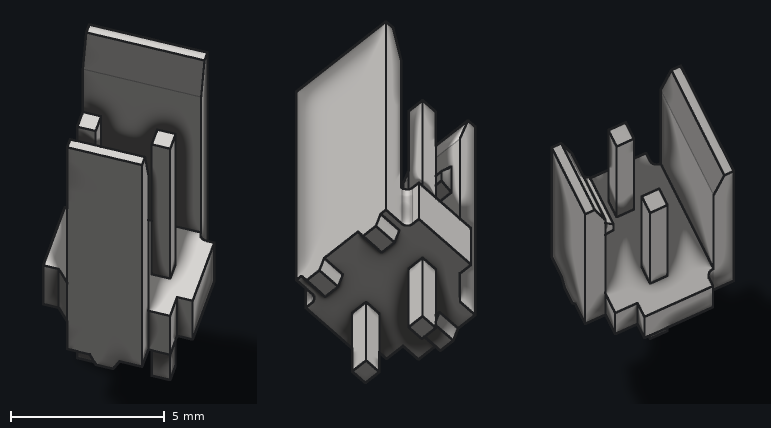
import cadquery as cq


total_height = 14.3
base_width = 5.08
base_depth = 5.0
base_height = 2.1

pin_pitch = 2.53
pin_size = 0.63
pin_tail = 3.39
pin_tip_drop = 1.79
pin_xs = (-pin_pitch / 2, pin_pitch / 2)

wall_thickness = 0.73
back_wall_width = 4.02
front_wall_width = 2.55
lead_in_height = 1.49
lead_in_depth = 0.39

shoulder_back_y = 1.5
shoulder_front_y = -0.97
corner_radius = 0.25

latch_width = 1.79
latch_reach = 0.47
latch_slope_start_drop = 2.69
latch_slope_end_drop = 3.49
latch_nose_bottom_drop = 4.03
latch_bottom_drop = 4.2

foot_height = 0.49
foot_length = 0.89
foot_top_width = 1.02
foot_bottom_width = 0.59

wall_top = total_height - pin_tail
half_depth = base_depth / 2
wall_inner = half_depth - wall_thickness


def extrude_along_x(points, width):
    """Extrude a (Y, Z) outline symmetrically about X = 0."""
    return cq.Workplane("YZ").polyline(points).close().extrude(width / 2, both=True)


def make_base():
    side = base_width / 2
    neck = back_wall_width / 2
    outline = (
        cq.Workplane("XY")
        .moveTo(-neck, wall_inner)
        .lineTo(-neck, shoulder_back_y)
        .lineTo(-side, shoulder_back_y)
        .lineTo(-side, shoulder_front_y)
        .lineTo(-neck, shoulder_front_y)
        .lineTo(-front_wall_width / 2, -wall_inner)
        .lineTo(neck, -wall_inner)
        .lineTo(neck, shoulder_front_y)
        .lineTo(side, shoulder_front_y)
        .lineTo(side, shoulder_back_y)
        .lineTo(neck, shoulder_back_y)
        .lineTo(neck, wall_inner)
        .close()
    )
    base = outline.extrude(base_height)
    for corner_x in (-neck, neck):
        corner = cq.selectors.NearestToPointSelector((corner_x, shoulder_back_y, base_height / 2))
        base = base.edges("|Z").edges(corner).fillet(corner_radius)
    return base


def make_wall(width, side):
    """Wall with a sloped lead-in on its inner face; side is +1 at the back, -1 at the front."""
    outline = [
        (side * half_depth, 0),
        (side * half_depth, wall_top),
        (side * (wall_inner + lead_in_depth), wall_top),
        (side * wall_inner, wall_top - lead_in_height),
        (side * wall_inner, 0),
    ]
    return extrude_along_x(outline, width)


def make_latch():
    face = -wall_inner
    nose = face + latch_reach
    outline = [
        (face, wall_top - latch_slope_start_drop),
        (nose, wall_top - latch_slope_end_drop),
        (nose, wall_top - latch_nose_bottom_drop),
        (face, wall_top - latch_bottom_drop),
    ]
    return extrude_along_x(outline, latch_width)


def make_foot(x, outer_y):
    """Tapered foot below the base, running from the outer face at outer_y towards Y = 0."""
    outline = [
        (x - foot_top_width / 2, 0),
        (x + foot_top_width / 2, 0),
        (x + foot_bottom_width / 2, -foot_height),
        (x - foot_bottom_width / 2, -foot_height),
    ]
    length = foot_length if outer_y > 0 else -foot_length
    return cq.Workplane("XZ", origin=(0, outer_y, 0)).polyline(outline).close().extrude(length)


def make_pin(x):
    length = total_height - pin_tip_drop
    return (
        cq.Workplane("XY", origin=(x, 0, -pin_tail))
        .rect(pin_size, pin_size)
        .extrude(length)
    )


result = (
    make_base()
    .union(make_wall(back_wall_width, 1))
    .union(make_wall(front_wall_width, -1))
    .union(make_latch())
    .union(make_foot(0, -half_depth))
)
for pin_x in pin_xs:
    result = result.union(make_pin(pin_x))
    result = result.union(make_foot(pin_x, half_depth))